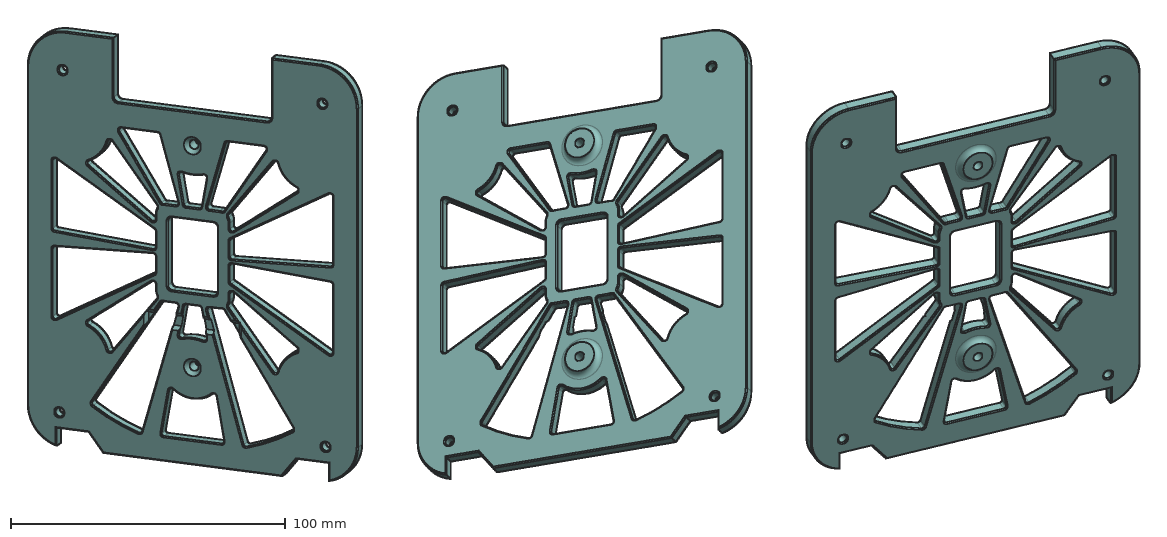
import cadquery as cq
import math

plate_width = 130.0
plate_height = 160.0
plate_thickness = 5.0
plate_corner_radius = 15.0
edge_chamfer = 0.5
window_corner_radius = 1.0

top_notch_width = 62.0
top_notch_depth = 24.5
top_notch_corner_radius = 2.0

bottom_notch_outer_x = 53.5
bottom_notch_inner_x = 41.0
bottom_notch_foot_x = 35.2
bottom_notch_depth = 7.4

hub_opening_width = 19.5
hub_opening_height = 28.0
hub_opening_corner_radius = 1.8
hub_wall = 4.8
hub_corner_radius = 4.0

side_angles = (3.2, 29.8)
diagonal_angles = (36.1, 51.8)
steep_angles = (57.0, 74.0)
middle_angles = (80.0, 100.0)
side_window_outer_x = 55.0
steep_window_top_z = 45.8
lower_steep_window_radius = 73.5
bottom_window_end_z = 70.4

middle_window_end_z = 31.2
middle_window_end_radius = 16.0
pad_x = 45.8
pad_z = 43.4
pad_radius = 12.8

boss_z = 42.5
boss_height = 2.2
boss_tip_radius = 5.8
boss_land_radius = 12.2
boss_hole_radius = 1.8
countersink_radius = 3.4

mount_hole_radius = 1.6
top_mount_hole = (51.0, 65.1)
bottom_mount_hole = (52.3, -66.4)

recess_width = 38.4
recess_top_z = -22.4
recess_bottom_z = -29.1
recess_depth = 1.5

wedge_reach = 192.0


def prism(sketch):
    """Extrude an XZ outline from the front face to the back face."""
    return sketch.extrude(-plate_thickness)


def front_plane(x=0.0, z=0.0):
    return cq.Workplane("XZ").center(x, z)


def box(x_min, x_max, z_min, z_max):
    center_x = (x_min + x_max) / 2
    center_z = (z_min + z_max) / 2
    return prism(front_plane(center_x, center_z).rect(x_max - x_min, z_max - z_min))


def disc(x, z, radius):
    return prism(front_plane(x, z).circle(radius))


def wedge(angles):
    """Triangle from the plate centre between two rays."""
    corners = [(0.0, 0.0)]
    for angle in angles:
        radians = math.radians(angle)
        corners.append((wedge_reach * math.cos(radians), wedge_reach * math.sin(radians)))
    return prism(front_plane().polyline(corners).close())


def mirror_x(body):
    return body.mirror("YZ")


def mirror_z(body):
    return body.mirror("XY")


def round_corners(body, radius):
    return body.edges("|Y").fillet(radius)


def plate_blank():
    half_width = plate_width / 2
    half_height = plate_height / 2
    blank = box(-half_width, half_width, -half_height, half_height)
    blank = round_corners(blank, plate_corner_radius)

    half_notch = top_notch_width / 2
    notch_floor = half_height - top_notch_depth
    notch = box(-half_notch, half_notch, notch_floor, plate_height)
    notch = notch.edges("|Y and <Z").fillet(top_notch_corner_radius)
    blank = blank.cut(notch)

    notch_ceiling = bottom_notch_depth - half_height
    bottom_notch = prism(
        front_plane().polyline(
            [
                (bottom_notch_outer_x, -half_height),
                (bottom_notch_outer_x, notch_ceiling),
                (bottom_notch_inner_x, notch_ceiling),
                (bottom_notch_foot_x, -half_height),
            ]
        ).close()
    )
    return blank.cut(bottom_notch).cut(mirror_x(bottom_notch))


def windows():
    """All the openings between the spokes, with rounded corners."""
    hub_half_width = hub_opening_width / 2 + hub_wall
    hub_half_height = hub_opening_height / 2 + hub_wall
    hub = box(-hub_half_width, hub_half_width, -hub_half_height, hub_half_height)
    hub = round_corners(hub, hub_corner_radius)

    side = wedge(side_angles).intersect(box(0, side_window_outer_x, 0, plate_height))
    diagonal = wedge(diagonal_angles).intersect(box(0, pad_x, 0, pad_z))
    diagonal = diagonal.cut(disc(pad_x, pad_z, pad_radius))
    steep = wedge(steep_angles)
    upper_steep = steep.intersect(box(0, plate_width, 0, steep_window_top_z))
    lower_steep = mirror_z(steep.intersect(disc(0, 0, lower_steep_window_radius)))
    middle = wedge(middle_angles)
    upper_middle = middle.intersect(box(-plate_width, plate_width, 0, boss_z))
    end_center_z = middle_window_end_z + middle_window_end_radius
    upper_middle = upper_middle.cut(disc(0, end_center_z, middle_window_end_radius))
    bottom = middle.intersect(box(-plate_width, plate_width, boss_z, bottom_window_end_z))
    bottom = mirror_z(bottom.cut(disc(0, boss_z, boss_land_radius)))

    right_side = [side, mirror_z(side), diagonal, mirror_z(diagonal), upper_steep, lower_steep]
    openings = [upper_middle, mirror_z(upper_middle), bottom]
    for opening in right_side:
        openings += [opening, mirror_x(opening)]
    return [round_corners(opening.cut(hub), window_corner_radius) for opening in openings]


def hub_opening():
    opening = prism(front_plane().rect(hub_opening_width, hub_opening_height))
    return round_corners(opening, hub_opening_corner_radius)


def mount_holes():
    holes = []
    for x, z in (top_mount_hole, bottom_mount_hole):
        holes += [disc(x, z, mount_hole_radius), disc(-x, z, mount_hole_radius)]
    return holes


def chamfered_plate():
    plate = plate_blank()
    for opening in windows() + [hub_opening()] + mount_holes():
        plate = plate.cut(opening)
    return plate.faces("<Y or >Y").chamfer(edge_chamfer)


def spoke_recess():
    center_z = (recess_top_z + recess_bottom_z) / 2
    height = recess_top_z - recess_bottom_z
    return front_plane(0, center_z).rect(recess_width, height).extrude(-recess_depth, taper=45)


def turned(profile, z):
    """Revolve a (radius, depth) profile about a boss axis parallel to Y."""
    body = profile.close().revolve(360, (0, 0, 0), (0, 1, 0))
    return body.translate((0, 0, z))


def boss(z):
    tip_y = plate_thickness + boss_height
    root_y = plate_thickness / 2
    base_radius = boss_tip_radius + boss_height
    flank_middle_offset = boss_height * (1 - math.sqrt(0.5))
    flank_middle = (boss_tip_radius + flank_middle_offset, plate_thickness + flank_middle_offset)
    profile = (
        cq.Workplane("XY")
        .moveTo(0, root_y)
        .lineTo(base_radius, root_y)
        .lineTo(base_radius, plate_thickness)
        .threePointArc(flank_middle, (boss_tip_radius, tip_y))
        .lineTo(0, tip_y)
    )
    return turned(profile, z)


def boss_hole(z):
    tip_y = plate_thickness + boss_height
    countersink_depth = countersink_radius - boss_hole_radius
    profile = cq.Workplane("XY").polyline(
        [
            (0, 0),
            (countersink_radius, 0),
            (boss_hole_radius, countersink_depth),
            (boss_hole_radius, tip_y),
            (0, tip_y),
        ]
    )
    return turned(profile, z)


result = chamfered_plate().cut(spoke_recess())
for boss_center_z in (boss_z, -boss_z):
    result = result.union(boss(boss_center_z)).cut(boss_hole(boss_center_z))